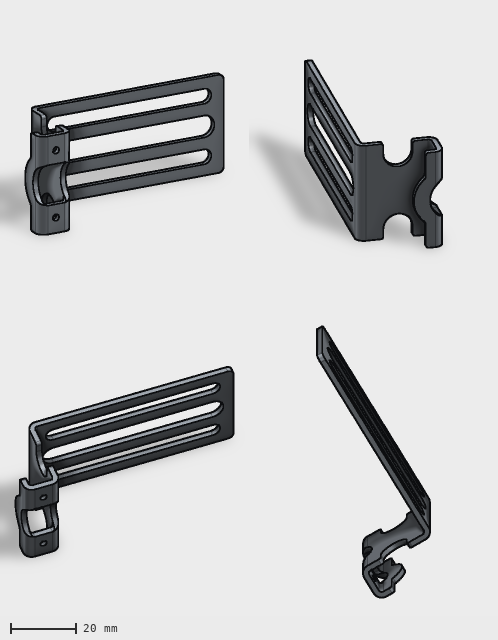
import cadquery as cq

length = 76.5
width = 25.2
height = 32.0
thickness = 1.8
inner_bend = 1.0
outer_bend = inner_bend + thickness
web_back = 11.4
web_front = web_back - thickness
lip_edge = 19.4

slot_center_y = 43.6
slots = [(59.05, 7.1, 0.0), (56.9, 4.8, 9.9), (56.9, 4.8, -9.9)]
plate_corner = 2.0

notch_center_x = 13.0
notch_radius = 4.6
notch_depth = 8.0
sheet_corner = 0.9

bulge_radius = 9.5
bulge_blend = 1.45
window_half_height = 6.6
window_corner = 1.0
window_radius = 6.9
window_tip_x = 20.8
hole_diameter = 2.1
hole_height = 10.95
flange_middle_y = web_back / 2


def box(x_range, y_range, z_range):
    """Box spanning the given limits along each axis."""
    (x0, x1), (y0, y1), (z0, z1) = x_range, y_range, z_range
    return cq.Workplane("XY").box(x1 - x0, y1 - y0, z1 - z0, centered=False).translate((x0, y0, z0))


def cylinder_along_y(x, z, radius, y0, y1):
    return cq.Workplane("XZ", origin=(x, y0, z)).circle(radius).extrude(y0 - y1)


def folded_sheet():
    """Bent strip with concentric inner and outer bend radii."""
    inner_x = width - thickness
    strip = (
        cq.Workplane("XY")
        .moveTo(0, length)
        .lineTo(0, web_front + outer_bend)
        .radiusArc((outer_bend, web_front), -outer_bend)
        .lineTo(width - outer_bend, web_front)
        .radiusArc((inner_x, web_front - inner_bend), inner_bend)
        .lineTo(inner_x, outer_bend)
        .radiusArc((width - outer_bend, thickness), inner_bend)
        .lineTo(lip_edge, thickness)
        .lineTo(lip_edge, 0)
        .lineTo(width - outer_bend, 0)
        .radiusArc((width, outer_bend), -outer_bend)
        .lineTo(width, web_back - outer_bend)
        .radiusArc((width - outer_bend, web_back), -outer_bend)
        .lineTo(thickness + inner_bend, web_back)
        .radiusArc((thickness, web_back + inner_bend), inner_bend)
        .lineTo(thickness, length)
        .close()
        .extrude(height / 2, both=True)
    )
    plate_end = cq.selectors.BoxSelector(
        (-0.8, length - 0.8, -height), (thickness + 0.8, length + 0.8, height)
    )
    lip_end = cq.selectors.BoxSelector(
        (lip_edge - 0.8, -0.8, -height), (lip_edge + 0.8, thickness + 0.8, height)
    )
    strip = strip.edges("|X").edges(plate_end).fillet(plate_corner)
    return strip.edges("|Y").edges(lip_end).fillet(sheet_corner)


def lip_bulge():
    """Round tongue on the lip edge, blended into it by fillets."""
    flat_end = width - outer_bend
    lip_half_height = height / 2 - 2 * sheet_corner
    disc = cylinder_along_y(width, 0, bulge_radius, 0, thickness)
    disc = disc.intersect(box((0, flat_end), (0, thickness), (-height, height)))
    base = box((lip_edge, flat_end), (0, thickness), (-lip_half_height, lip_half_height))
    joint_height = (bulge_radius**2 - (width - lip_edge) ** 2) ** 0.5
    joints = cq.selectors.BoxSelector(
        (lip_edge - 0.1, -0.8, -joint_height - 0.1),
        (lip_edge + 0.1, thickness + 0.8, joint_height + 0.1),
    )
    return base.union(disc).edges("|Y").edges(joints).fillet(bulge_blend)


def plate_slots():
    cutters = cq.Workplane("YZ")
    for slot_length, slot_width, z in slots:
        cutters = cutters.moveTo(slot_center_y, z).slot2D(slot_length, slot_width)
    return cutters.extrude(thickness)


def web_notch(side):
    """U-shaped notch with rounded mouth; side is +1 for top, -1 for bottom."""
    edge = height / 2
    mouth = notch_radius + sheet_corner
    arc_z = edge - notch_depth + notch_radius
    notch = (
        cq.Workplane("XZ", origin=(notch_center_x, web_back, 0))
        .moveTo(-mouth, side * edge)
        .radiusArc((-notch_radius, side * (edge - sheet_corner)), side * sheet_corner)
        .lineTo(-notch_radius, side * arc_z)
        .threePointArc((0, side * (edge - notch_depth)), (notch_radius, side * arc_z))
        .lineTo(notch_radius, side * (edge - sheet_corner))
        .radiusArc((mouth, side * edge), side * sheet_corner)
        .close()
    )
    return notch.extrude(thickness)


def window():
    """Opening through the flange whose rounded ends run into the web and lip."""
    flange_opening = box(
        (width - outer_bend, width),
        (thickness, web_front),
        (-window_half_height, window_half_height),
    )
    flange_opening = flange_opening.edges("|X").fillet(window_corner)
    round_ends = cylinder_along_y(window_tip_x + window_radius, 0, window_radius, 0, web_back)
    return flange_opening.union(round_ends)


def flange_holes():
    return (
        cq.Workplane("YZ", origin=(width - outer_bend, 0, 0))
        .pushPoints([(flange_middle_y, hole_height), (flange_middle_y, -hole_height)])
        .circle(hole_diameter / 2)
        .extrude(outer_bend)
    )


result = folded_sheet().union(lip_bulge()).cut(plate_slots())
for side in (1, -1):
    result = result.cut(web_notch(side))
result = result.cut(window()).cut(flange_holes())